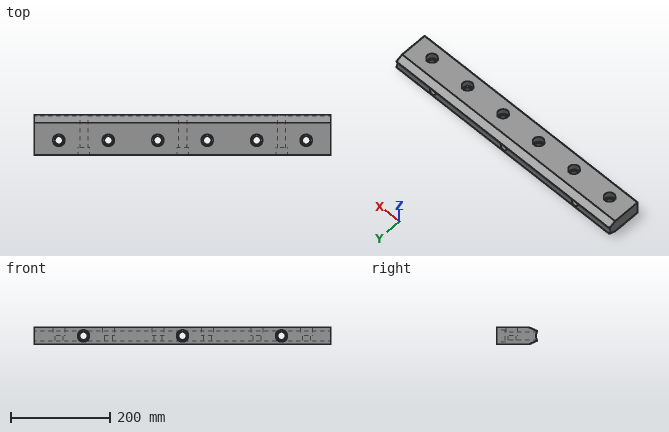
import cadquery as cq

length = 599.5
width = 82.0
thickness = 35.0

taper_width = 17.0
tip_height = 20.0
groove_depth = 2.5

hole_diameter = 16.0
counterbore_diameter = 24.0
counterbore_depth = 16.0
top_hole_count = 6
top_hole_y = 30.0
side_hole_count = 3


def hole_positions(count):
    """X places of holes spread evenly, with half a pitch left at each end."""
    pitch = length / count
    return [(index + 0.5) * pitch - length / 2 for index in range(count)]


def make_bar():
    """Extrude the cross-section, drawn in Y and Z, along X."""
    shoulder_y = width - taper_width
    half_thickness = thickness / 2
    half_tip = tip_height / 2
    return (
        cq.Workplane("YZ", origin=(-length / 2, 0, 0))
        .moveTo(0, -half_thickness)
        .lineTo(shoulder_y, -half_thickness)
        .lineTo(width, -half_tip)
        .threePointArc((width - groove_depth, 0), (width, half_tip))
        .lineTo(shoulder_y, half_thickness)
        .lineTo(0, half_thickness)
        .close()
        .extrude(length)
    )


def drill_top_holes(body):
    """Vertical holes, counterbored from the top face."""
    points = [(x, top_hole_y) for x in hole_positions(top_hole_count)]
    return (
        body.copyWorkplane(cq.Workplane("XY", origin=(0, 0, thickness / 2)))
        .pushPoints(points)
        .cboreHole(hole_diameter, counterbore_diameter, counterbore_depth)
    )


def drill_side_holes(body):
    """Holes across the width at mid thickness, counterbored from the square edge."""
    points = [(x, 0) for x in hole_positions(side_hole_count)]
    return (
        body.copyWorkplane(cq.Workplane("XZ"))
        .pushPoints(points)
        .cboreHole(hole_diameter, counterbore_diameter, counterbore_depth)
    )


bar = make_bar()
bar = drill_top_holes(bar)
bar = drill_side_holes(bar)
result = bar.translate((0, -width / 2, 0))